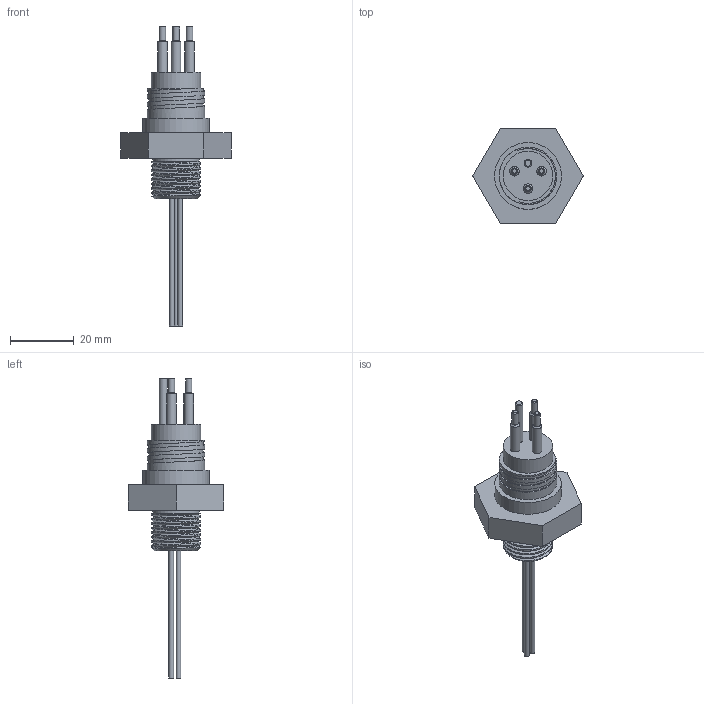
import cadquery as cq
import math

nut_height = 8.0
flange_height = 4.5
collar_height = 9.4
cap_height = 5.1
pin_length = 14.5
stud_length = 12.7
wire_length = 40.0

nut_across_flats = 30.0
flange_diameter = 21.0
collar_diameter = 18.0
cap_diameter = 15.5
stud_diameter = 15.5

stud_pitch = 1.41
stud_thread_depth = 0.65
stud_crest_width = 0.45
stud_root_width = 0.1
stud_end_diameter = 13.8
stud_lead_in_height = 1.0
stud_groove_start_height = 0.75
stud_groove_start_angle = 90.0
stud_neck_diameter = 14.64
stud_neck_height = 0.9
stud_groove_overrun = 0.8
stud_groove_overcut = 0.1

collar_pitch = 2.4
collar_groove_width = 1.1
collar_groove_depth = 0.4
collar_groove_start_depth = 6.93
collar_groove_start_angle = 70.0

stepped_pin_centers = [(4.25, 1.45), (-4.25, 1.45), (0.0, -4.0)]
plain_pin_center = (0.0, 4.0)
pin_base_diameter = 3.0
pin_tip_diameter = 2.0
pin_tip_length = 4.5
pin_shoulder_height = 0.5
plain_pin_diameter = 2.5
pin_end_chamfer = 0.3

wire_count = 3
wire_diameter = 1.5
wire_circle_radius = 1.5

flange_bottom = nut_height
collar_bottom = flange_bottom + flange_height
collar_top = collar_bottom + collar_height
cap_top = collar_top + cap_height
stud_bottom = -stud_length


def cylinder(diameter, height, bottom, center=(0.0, 0.0)):
    """Vertical cylinder standing on the level `bottom`."""
    return cq.Workplane("XY", origin=(*center, bottom)).circle(diameter / 2).extrude(height)


def make_collar():
    """Collar with a helical groove that runs out through its top face."""
    radius = collar_diameter / 2
    path_height = collar_groove_start_depth + collar_groove_width

    path = cq.Wire.makeHelix(collar_pitch, path_height, radius)
    groove = (
        cq.Workplane("XZ", origin=(radius, 0, 0))
        .rect(2 * collar_groove_depth, collar_groove_width)
        .sweep(path, isFrenet=True)
        .rotate((0, 0, 0), (0, 0, 1), collar_groove_start_angle)
        .translate((0, 0, collar_top - collar_groove_start_depth))
    )
    return cylinder(collar_diameter, collar_height, collar_bottom).cut(groove)


def make_stud():
    """Threaded stud with a conical lead-in below and a plain neck under the nut."""
    radius = stud_diameter / 2
    blank = (
        cq.Workplane("XZ")
        .moveTo(0, stud_bottom)
        .lineTo(stud_end_diameter / 2, stud_bottom)
        .lineTo(radius, stud_bottom + stud_lead_in_height)
        .lineTo(radius, -stud_neck_height)
        .lineTo(0, -stud_neck_height)
        .close()
        .revolve(360, (0, 0, 0), (0, 1, 0))
    )

    root_radius = radius - stud_thread_depth
    mouth_half = (stud_pitch - stud_crest_width) / 2
    root_half = stud_root_width / 2
    outer_radius = radius + stud_groove_overcut
    outer_half = mouth_half + stud_groove_overcut * (mouth_half - root_half) / stud_thread_depth
    path_height = stud_length - stud_neck_height - stud_groove_start_height + stud_groove_overrun
    path = cq.Wire.makeHelix(stud_pitch, path_height, root_radius)
    groove = (
        cq.Workplane("XZ")
        .moveTo(root_radius, -root_half)
        .lineTo(outer_radius, -outer_half)
        .lineTo(outer_radius, outer_half)
        .lineTo(root_radius, root_half)
        .close()
        .sweep(path, isFrenet=True)
        .rotate((0, 0, 0), (0, 0, 1), stud_groove_start_angle)
        .translate((0, 0, stud_bottom + stud_groove_start_height))
    )
    neck = cylinder(stud_neck_diameter, stud_neck_height, -stud_neck_height)
    return blank.cut(groove).union(neck)


def make_stepped_pin(center):
    """Pin with a thick base, a conical shoulder and a slim chamfered tip."""
    base_radius = pin_base_diameter / 2
    tip_radius = pin_tip_diameter / 2
    tip_bottom = pin_length - pin_tip_length
    return (
        cq.Workplane("XZ")
        .lineTo(base_radius, 0)
        .lineTo(base_radius, tip_bottom - pin_shoulder_height)
        .lineTo(tip_radius, tip_bottom)
        .lineTo(tip_radius, pin_length - pin_end_chamfer)
        .lineTo(tip_radius - pin_end_chamfer, pin_length)
        .lineTo(0, pin_length)
        .close()
        .revolve(360, (0, 0, 0), (0, 1, 0))
        .translate((*center, cap_top))
    )


def make_plain_pin(center):
    """Straight pin with a chamfered end."""
    pin = cylinder(plain_pin_diameter, pin_length, cap_top, center)
    return pin.faces(">Z").chamfer(pin_end_chamfer)


def make_wire(index):
    """One of the wires, evenly spaced on a circle around the axis, the first towards +Y."""
    angle = math.radians(90 + index * 360 / wire_count)
    center = (wire_circle_radius * math.cos(angle), wire_circle_radius * math.sin(angle))
    return cylinder(wire_diameter, wire_length, stud_bottom - wire_length, center)


nut_across_corners = nut_across_flats / math.cos(math.pi / 6)
result = cq.Workplane("XY").polygon(6, nut_across_corners).extrude(nut_height)
result = result.union(cylinder(flange_diameter, flange_height, flange_bottom))
result = result.union(make_collar())
result = result.union(cylinder(cap_diameter, cap_height, collar_top))
result = result.union(make_stud())

for pin_center in stepped_pin_centers:
    result = result.union(make_stepped_pin(pin_center))
result = result.union(make_plain_pin(plain_pin_center))

for wire_index in range(wire_count):
    result = result.union(make_wire(wire_index))